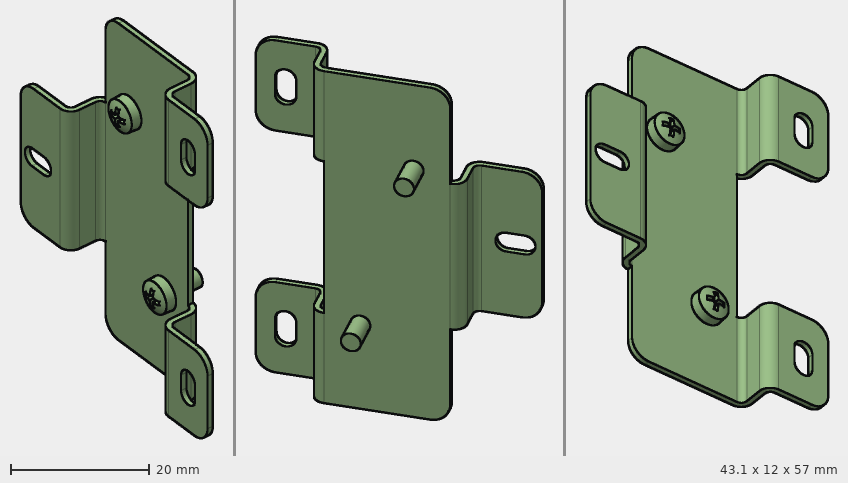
import cadquery as cq
import math

THICKNESS = 1.0
INNER_BEND = 1.0
OUTER_BEND = INNER_BEND + THICKNESS
OFFSET = 7.0
PLATE_WIDTH = 19.0
PLATE_HEIGHT = 57.0
LUG_REACH = 12.1
RIGHT_LUG_REACH = 12.0
LEFT_LUG_HEIGHT = 25.0
RIGHT_LUG_HEIGHT = 15.5
CORNER_RADIUS = 3.0

SLOT_LENGTH = 6.0
SLOT_WIDTH = 3.2
LEFT_SLOT_INSET = 4.0
RIGHT_SLOT_INSET = 4.5

SCREW_DIAMETER = 3.0
SHANK_LENGTH = 6.0
HEAD_DIAMETER = 5.6
RIM_DIAMETER = 5.4
HEAD_SIDE_HEIGHT = 1.7
HEAD_HEIGHT = 2.4
CROSS_LENGTH = 3.1
CROSS_WIDTH = 0.7
CROSS_DEPTH = 1.0
SCREW_SPACING_X = 8.0
SCREW_SPACING_Z = 28.0

half_plate_width = PLATE_WIDTH / 2
half_plate_height = PLATE_HEIGHT / 2
right_lug_z = half_plate_height - RIGHT_LUG_HEIGHT / 2
screw_places = [
    (-SCREW_SPACING_X / 2, SCREW_SPACING_Z / 2),
    (SCREW_SPACING_X / 2, -SCREW_SPACING_Z / 2),
]


def make_lug(reach, height):
    """Z-bent lug leaving the right edge of the web in +X, centred on Z = 0."""
    diagonal = math.sqrt(0.5)
    first_x = half_plate_width
    first_y = -OUTER_BEND
    second_x = first_x + INNER_BEND + OUTER_BEND
    second_y = -OFFSET + OUTER_BEND
    wall_front_x = first_x + INNER_BEND
    wall_back_x = first_x + OUTER_BEND
    end_x = first_x + reach

    def on_bend(center_x, center_y, radius, side):
        return (center_x + side * radius * diagonal, center_y + side * radius * diagonal)

    return (
        cq.Workplane("XY", origin=(0, 0, -height / 2))
        .moveTo(first_x, 0)
        .threePointArc(on_bend(first_x, first_y, OUTER_BEND, 1), (wall_back_x, first_y))
        .lineTo(wall_back_x, second_y)
        .threePointArc(on_bend(second_x, second_y, INNER_BEND, -1), (second_x, THICKNESS - OFFSET))
        .lineTo(end_x, THICKNESS - OFFSET)
        .lineTo(end_x, -OFFSET)
        .lineTo(second_x, -OFFSET)
        .threePointArc(on_bend(second_x, second_y, OUTER_BEND, -1), (wall_front_x, second_y))
        .lineTo(wall_front_x, first_y)
        .threePointArc(on_bend(first_x, first_y, INNER_BEND, 1), (first_x, -THICKNESS))
        .close()
        .extrude(height)
        .edges("|Y and >X")
        .fillet(CORNER_RADIUS)
    )


def make_slot(x, z, angle):
    """Cutter for a slot through a lug."""
    return (
        cq.Workplane("XZ", origin=(x, 0, z))
        .slot2D(SLOT_LENGTH, SLOT_WIDTH, angle)
        .extrude(OFFSET + THICKNESS)
    )


def make_bracket():
    web = (
        cq.Workplane("XY")
        .box(PLATE_WIDTH, THICKNESS, PLATE_HEIGHT)
        .translate((0, -THICKNESS / 2, 0))
        .edges("|Y and <X")
        .fillet(CORNER_RADIUS)
    )
    bracket = web.union(make_lug(LUG_REACH, LEFT_LUG_HEIGHT).mirror("YZ"))
    left_slot_x = -half_plate_width - LUG_REACH + LEFT_SLOT_INSET
    bracket = bracket.cut(make_slot(left_slot_x, 0, 0))

    right_slot_x = half_plate_width + RIGHT_LUG_REACH - RIGHT_SLOT_INSET
    for lug_z in (-right_lug_z, right_lug_z):
        lug = make_lug(RIGHT_LUG_REACH, RIGHT_LUG_HEIGHT).translate((0, 0, lug_z))
        bracket = bracket.union(lug).cut(make_slot(right_slot_x, lug_z, 90))

    for x, z in screw_places:
        hole = (
            cq.Workplane("XZ", origin=(x, 0, z))
            .circle(SCREW_DIAMETER / 2)
            .extrude(THICKNESS)
        )
        bracket = bracket.cut(hole)
    return bracket


def make_screw(x, z):
    """Screw along Y with its head seated on the front face of the web."""
    seat_y = -THICKNESS
    shank_radius = SCREW_DIAMETER / 2
    head_radius = HEAD_DIAMETER / 2
    rim_radius = RIM_DIAMETER / 2
    rim_y = seat_y - HEAD_SIDE_HEIGHT
    crown_y = seat_y - HEAD_HEIGHT
    dome_rise = HEAD_HEIGHT - HEAD_SIDE_HEIGHT
    dome_radius = (rim_radius**2 + dome_rise**2) / (2 * dome_rise)
    dome_mid_x = rim_radius / 2
    dome_mid_y = crown_y + dome_radius - math.sqrt(dome_radius**2 - dome_mid_x**2)

    screw = (
        cq.Workplane("XY")
        .moveTo(0, seat_y + SHANK_LENGTH)
        .lineTo(shank_radius, seat_y + SHANK_LENGTH)
        .lineTo(shank_radius, seat_y)
        .lineTo(head_radius, seat_y)
        .lineTo(rim_radius, rim_y)
        .threePointArc((dome_mid_x, dome_mid_y), (0, crown_y))
        .close()
        .revolve(360, (0, 0, 0), (0, 1, 0))
    )
    for width, height in ((CROSS_LENGTH, CROSS_WIDTH), (CROSS_WIDTH, CROSS_LENGTH)):
        cross_arm = (
            cq.Workplane("XZ", origin=(0, crown_y + CROSS_DEPTH, 0))
            .rect(width, height)
            .extrude(CROSS_DEPTH)
        )
        screw = screw.cut(cross_arm)
    return screw.translate((x, 0, z))


bracket = make_bracket()
screws = [make_screw(x, z) for x, z in screw_places]

result = cq.Compound.makeCompound([bracket.val(), *[screw.val() for screw in screws]])